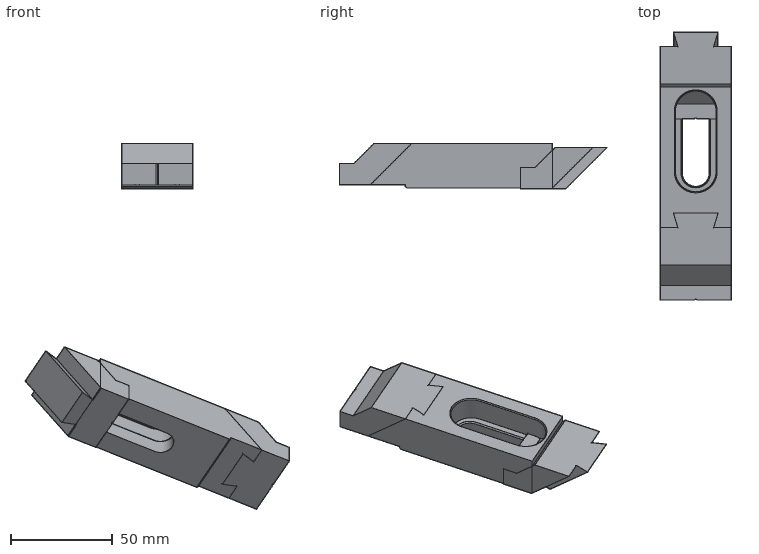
import cadquery as cq

WIDTH = 35.0
LENGTH = 132.0
TOP_Z = 22.5

JAW_HEIGHT = 20.5
JAW_SHOULDER = 35.8
DOVETAIL_LENGTH = 7.0
DOVETAIL_TIP_WIDTH = 21.9
DOVETAIL_ROOT_WIDTH = 17.7
NOSE_LENGTH = 7.3
NOSE_DROP = 9.9
NOTCH_WIDTH = 1.2
NOTCH_DEPTH = 0.5

FRONT_JAW_Z = TOP_Z - JAW_HEIGHT
REAR_JAW_Y = LENGTH - JAW_SHOULDER - DOVETAIL_LENGTH

HOUSING_BOTTOM_Z = 0.4
HOUSING_REAR_Y = REAR_JAW_Y + JAW_SHOULDER - JAW_HEIGHT + HOUSING_BOTTOM_Z
FOOT_FRONT_Y = 32.5
FOOT_CHAMFER = 0.8

SLOT_FRONT_Y = 52.8
SLOT_REAR_Y = 103.5
SLOT_WIDTH = 21.1
SLOT_CHAMFER = 0.5
LEDGE_Z = 9.5
THROUGH_SLOT_FRONT_Y = 55.3
THROUGH_SLOT_WIDTH = 14.5
THROUGH_SLOT_REAR_Y = SLOT_REAR_Y - (THROUGH_SLOT_FRONT_Y - SLOT_FRONT_Y)
THROUGH_SLOT_CHAMFER = 0.7


def side_prism(points, width):
    """Extrude a (Y, Z) outline symmetrically about the middle plane X = 0."""
    return cq.Workplane("YZ").polyline(points).close().extrude(width / 2, both=True)


def make_dovetail():
    """Dovetail tongue, which follows the 45 degree shoulder down to the underside."""
    root = DOVETAIL_ROOT_WIDTH / 2
    tip = DOVETAIL_TIP_WIDTH / 2
    tip_y = JAW_SHOULDER + DOVETAIL_LENGTH
    outline = [(-root, JAW_SHOULDER), (-tip, tip_y), (tip, tip_y), (root, JAW_SHOULDER)]
    top_face = cq.Workplane("XY", origin=(0, 0, JAW_HEIGHT)).polyline(outline).close()
    down_slope = cq.Vector(0, -JAW_HEIGHT, -JAW_HEIGHT)
    return cq.Workplane(cq.Solid.extrudeLinear(top_face.vals()[0], [], down_slope))


def make_jaw():
    """Jaw with its nose at Y = 0 and its underside at Z = 0."""
    nose_z = JAW_HEIGHT - NOSE_DROP
    body = side_prism([
        (0, 0),
        (0, nose_z),
        (NOSE_LENGTH, nose_z),
        (NOSE_LENGTH + NOSE_DROP, JAW_HEIGHT),
        (JAW_SHOULDER, JAW_HEIGHT),
        (JAW_SHOULDER - JAW_HEIGHT, 0),
    ], WIDTH)
    notch = (
        cq.Workplane("XY")
        .polyline([(-NOTCH_WIDTH / 2, 0), (0, NOTCH_DEPTH), (NOTCH_WIDTH / 2, 0)]).close()
        .extrude(nose_z)
    )
    return body.union(make_dovetail()).cut(notch)


def slot_cutter(front_y, rear_y, width, bottom_z, top_z, chamfer):
    """Round-ended slot, given by its rim width, narrowing by a 45 degree chamfer to its walls."""
    length = rear_y - front_y
    middle_y = (front_y + rear_y) / 2
    wall = (
        cq.Workplane("XY", origin=(0, middle_y, bottom_z))
        .slot2D(length - 2 * chamfer, width - 2 * chamfer, 90).extrude(top_z - bottom_z)
    )
    rim = (
        cq.Workplane("XY", origin=(0, middle_y, top_z))
        .slot2D(length, width, 90).extrude(-chamfer, taper=45)
    )
    return wall.union(rim)


def make_housing(front_jaw, rear_jaw):
    """Housing block with its stepped slot and the seats of both jaws."""
    block = side_prism([
        (FOOT_FRONT_Y + FOOT_CHAMFER, HOUSING_BOTTOM_Z),
        (FOOT_FRONT_Y, HOUSING_BOTTOM_Z + FOOT_CHAMFER),
        (FOOT_FRONT_Y, FRONT_JAW_Z),
        (JAW_SHOULDER - JAW_HEIGHT, FRONT_JAW_Z),
        (JAW_SHOULDER, TOP_Z),
        (HOUSING_REAR_Y, TOP_Z),
        (HOUSING_REAR_Y, HOUSING_BOTTOM_Z),
    ], WIDTH)
    upper_slot = slot_cutter(SLOT_FRONT_Y, SLOT_REAR_Y, SLOT_WIDTH, LEDGE_Z, TOP_Z, SLOT_CHAMFER)
    lower_slot = slot_cutter(
        THROUGH_SLOT_FRONT_Y, THROUGH_SLOT_REAR_Y, THROUGH_SLOT_WIDTH,
        HOUSING_BOTTOM_Z, LEDGE_Z, THROUGH_SLOT_CHAMFER,
    )
    return block.cut(upper_slot).cut(lower_slot).cut(front_jaw).cut(rear_jaw)


front_jaw = make_jaw().translate((0, 0, FRONT_JAW_Z))
rear_jaw = make_jaw().translate((0, REAR_JAW_Y, 0))

inside_housing = cq.Workplane("XY").box(
    WIDTH, HOUSING_REAR_Y, TOP_Z, centered=(True, False, False)
)
rear_jaw_nose = rear_jaw.intersect(inside_housing)
rear_jaw_tail = rear_jaw.cut(inside_housing)

housing = make_housing(front_jaw, rear_jaw)

result = cq.Compound.makeCompound([
    housing.val(),
    front_jaw.val(),
    rear_jaw_nose.val(),
    rear_jaw_tail.val(),
])